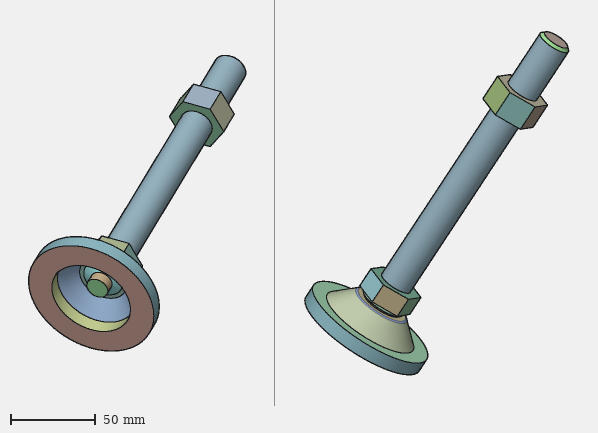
import cadquery as cq
import math

total_length = 218.0

plate_radius = 80.0 / 2
plate_thickness = 8.7
foot_height = 21.8
cone_base_radius = 30.3
cone_top_radius = cone_base_radius - (foot_height - plate_thickness)
cone_edge_fillet = 2.0
cavity_radius = 25.0
ceiling_radius = 15.0
ceiling_y = plate_thickness + (cavity_radius - ceiling_radius)
hole_radius = 12.5

rod_radius = 10.0
rod_chamfer = 2.0
collar_radius = 13.7
collar_top_radius = 12.6
collar_ridge_y = foot_height + (collar_radius - hole_radius)
tip_radius = 6.8
tip_start_y = 16.1
tip_end_y = 9.5

nut_across_flats = 30.0
lower_nut_start = 25.0
lower_nut_thickness = 12.6
upper_nut_start = 163.7
upper_nut_thickness = 16.5


def revolve_about_y(profile):
    return profile.close().revolve(360, (0, 0, 0), (0, 1, 0))


def make_foot():
    """Foot with a conical cavity and a plain hole for the stud."""
    profile = (
        cq.Workplane("XY")
        .moveTo(cavity_radius, 0)
        .lineTo(plate_radius, 0)
        .lineTo(plate_radius, plate_thickness)
        .lineTo(cone_base_radius, plate_thickness)
        .lineTo(cone_top_radius, foot_height)
        .lineTo(hole_radius, foot_height)
        .lineTo(hole_radius, ceiling_y)
        .lineTo(ceiling_radius, ceiling_y)
        .lineTo(cavity_radius, plate_thickness)
    )
    foot = revolve_about_y(profile)
    top_rim = cq.selectors.RadiusNthSelector(-1)
    return foot.faces(">Y").edges(top_rim).fillet(cone_edge_fillet)


def make_stud():
    """Chamfered rod with a conical collar, a neck and a tip reaching into the cavity."""
    profile = (
        cq.Workplane("XY")
        .moveTo(0, tip_end_y)
        .lineTo(tip_radius, tip_end_y)
        .lineTo(tip_radius, tip_start_y)
        .lineTo(hole_radius, ceiling_y)
        .lineTo(hole_radius, foot_height)
        .lineTo(collar_radius, collar_ridge_y)
        .lineTo(collar_top_radius, lower_nut_start)
        .lineTo(rod_radius, lower_nut_start)
        .lineTo(rod_radius, total_length - rod_chamfer)
        .lineTo(rod_radius - rod_chamfer, total_length)
        .lineTo(0, total_length)
    )
    return revolve_about_y(profile)


def make_nut(start_y, thickness):
    """Hexagon nut around the rod, with corners on +X and -X."""
    across_corners = nut_across_flats / math.cos(math.pi / 6)
    return (
        cq.Workplane("XZ", origin=(0, start_y, 0))
        .polygon(6, across_corners)
        .circle(rod_radius)
        .extrude(-thickness)
    )


foot = make_foot()
stud = make_stud()
nut_positions = [
    (lower_nut_start, lower_nut_thickness),
    (upper_nut_start, upper_nut_thickness),
]
nuts = [make_nut(start_y, thickness) for start_y, thickness in nut_positions]

result = cq.Compound.makeCompound([foot.val(), stud.val(), *[nut.val() for nut in nuts]])